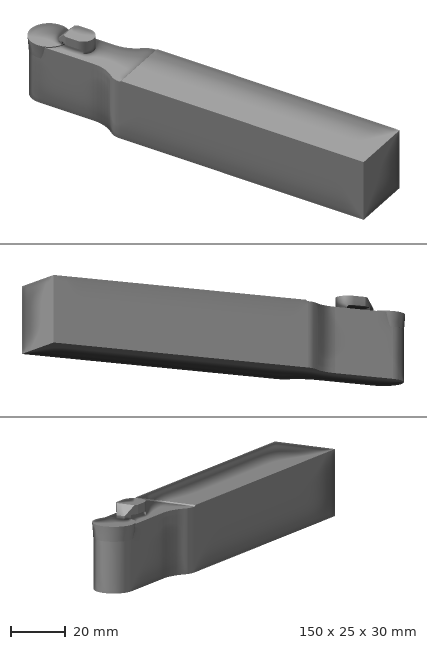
import cadquery as cq
import math

length = 150.0
shank_width = 25.0
shank_height = shank_width
neck_width = 14.8
neck_top = 24.6
neck_start = 31.6
neck_end = 45.5
flare_radius = 14.7
step_foot = 45.9

insert_radius = 8.0
insert_base_radius = 7.5
insert_thickness = 5.7
insert_x = insert_radius
insert_base = shank_height - insert_thickness

clamp_top = 30.0
clamp_width = 9.0
clamp_tip_x = 12.9
clamp_tip_width = 3.5
clamp_tip_top = 26.4
clamp_taper_end = 17.7
clamp_slope_end = 16.5
clamp_round_x = 22.5
gap_start = 15.1
gap_end = 24.9
gap_top = 26.5
gap_fillet = 1.0


def holder_outline():
    """Plan of the holder: rounded nose, neck, S-shaped flares and shank."""
    neck_half = neck_width / 2
    shank_half = shank_width / 2
    run = neck_end - neck_start
    rise = shank_half - neck_half
    angle = 2 * math.atan2(rise, run)
    radius_sum = run / math.sin(angle)
    shoulder_radius = radius_sum - flare_radius

    def flare_point(turn):
        return (
            neck_start + flare_radius * math.sin(turn),
            neck_half + flare_radius * (1 - math.cos(turn)),
        )

    def shoulder_point(turn):
        return (
            neck_end - shoulder_radius * math.sin(turn),
            shank_half - shoulder_radius * (1 - math.cos(turn)),
        )

    def mirrored(point):
        return (point[0], -point[1])

    flare_middle = flare_point(angle / 2)
    inflection = flare_point(angle)
    shoulder_middle = shoulder_point(angle / 2)
    return (
        cq.Workplane("XY")
        .moveTo(insert_x, neck_half)
        .lineTo(neck_start, neck_half)
        .threePointArc(flare_middle, inflection)
        .threePointArc(shoulder_middle, (neck_end, shank_half))
        .lineTo(length, shank_half)
        .lineTo(length, -shank_half)
        .lineTo(neck_end, -shank_half)
        .threePointArc(mirrored(shoulder_middle), mirrored(inflection))
        .threePointArc(mirrored(flare_middle), (neck_start, -neck_half))
        .lineTo(insert_x, -neck_half)
        .threePointArc((insert_x - neck_half, 0), (insert_x, neck_half))
        .close()
    )


def side_prism(points, width):
    """Prism of an XZ profile, centred on the XZ plane."""
    return cq.Workplane("XZ").polyline(points).close().extrude(width / 2, both=True)


def make_insert():
    return (
        cq.Workplane("XY", origin=(insert_x, 0, insert_base))
        .circle(insert_base_radius)
        .workplane(offset=insert_thickness)
        .circle(insert_radius)
        .loft()
    )


def make_clamp():
    half = clamp_width / 2
    tip_half = clamp_tip_width / 2
    plan = (
        cq.Workplane("XY", origin=(0, 0, neck_top))
        .moveTo(clamp_tip_x, tip_half)
        .lineTo(clamp_taper_end, half)
        .lineTo(clamp_round_x, half)
        .threePointArc((clamp_round_x + half, 0), (clamp_round_x, -half))
        .lineTo(clamp_taper_end, -half)
        .lineTo(clamp_tip_x, -tip_half)
        .close()
        .extrude(clamp_top - neck_top)
    )
    rear_x = clamp_round_x + half
    side = side_prism(
        [
            (clamp_tip_x, shank_height),
            (clamp_tip_x, clamp_tip_top),
            (clamp_slope_end, clamp_top),
            (rear_x, clamp_top),
            (rear_x, neck_top),
            (gap_end, neck_top),
            (gap_end, gap_top),
            (gap_start, gap_top),
            (gap_start, shank_height),
        ],
        clamp_width,
    )
    gap_corner = cq.selectors.NearestToPointSelector((gap_end, 0, gap_top))
    side = side.edges("|Y").edges(gap_corner).fillet(gap_fillet)
    return plan.intersect(side)


def make_holder(insert):
    body = holder_outline().extrude(shank_height)
    step = shank_height - neck_top
    lowered_top = side_prism(
        [
            (0, neck_top),
            (step_foot, neck_top),
            (step_foot + step, shank_height),
            (0, shank_height),
        ],
        shank_width,
    )
    return body.cut(lowered_top).cut(insert).union(make_clamp())


insert = make_insert()
holder = make_holder(insert)

result = cq.Compound.makeCompound([holder.solids().val(), insert.val()])